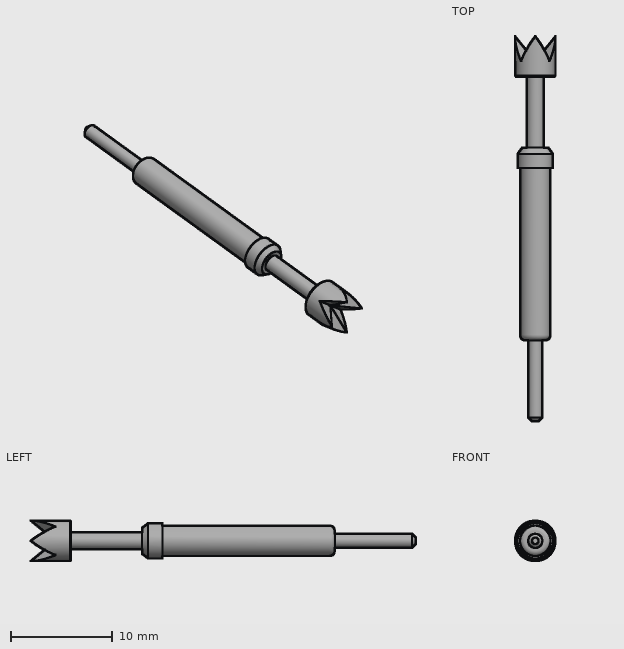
import cadquery as cq
import math


total_length = 38.0
head_length = 4.0
collar_start = 11.0
collar_end = 13.0
barrel_end = 30.0

head_diameter = 4.0
plunger_diameter = 1.7
collar_diameter = 3.5
barrel_diameter = 3.0
pin_diameter = 1.4
pin_tip_diameter = 0.65

head_chamfer = 0.12
collar_chamfer_length = 0.6
collar_chamfer_depth = 0.45
barrel_fillet = 0.5
pin_chamfer = (pin_diameter - pin_tip_diameter) / 2

groove_angle = 60.0
groove_directions = (45.0, 135.0)
tip_angle = 45.0

crown_y = total_length / 2


def axial_cylinder(diameter, start, end):
    """Cylinder on the Y axis between two distances from the crown tips."""
    return (
        cq.Workplane("XZ", origin=(0, crown_y - start, 0))
        .circle(diameter / 2)
        .extrude(end - start)
    )


def make_head():
    head = axial_cylinder(head_diameter, 0, head_length)
    head = head.faces("<Y").edges().chamfer(head_chamfer)
    for direction in groove_directions:
        head = head.cut(make_groove(direction))
    return head


def make_groove(direction):
    """V groove across the crown whose walls meet its neighbour's at sharp tips on the head rim."""
    half_width = head_diameter / 2 * math.sin(math.radians(tip_angle))
    depth = half_width / math.tan(math.radians(groove_angle / 2))
    groove = (
        cq.Workplane("XY")
        .polyline([(-half_width, crown_y), (0, crown_y - depth), (half_width, crown_y)])
        .close()
        .extrude(head_diameter, both=True)
    )
    return groove.rotate((0, 0, 0), (0, 1, 0), direction)


def make_collar():
    collar = axial_cylinder(collar_diameter, collar_start, collar_end)
    return collar.faces(">Y").edges().chamfer(collar_chamfer_length, collar_chamfer_depth)


def make_barrel():
    barrel = axial_cylinder(barrel_diameter, collar_end, barrel_end)
    return barrel.faces("<Y").edges().fillet(barrel_fillet)


def make_pin():
    pin = axial_cylinder(pin_diameter, barrel_end, total_length)
    return pin.faces("<Y").edges().chamfer(pin_chamfer)


plunger = axial_cylinder(plunger_diameter, head_length, collar_start)

result = (
    make_head()
    .union(plunger)
    .union(make_collar())
    .union(make_barrel())
    .union(make_pin())
)